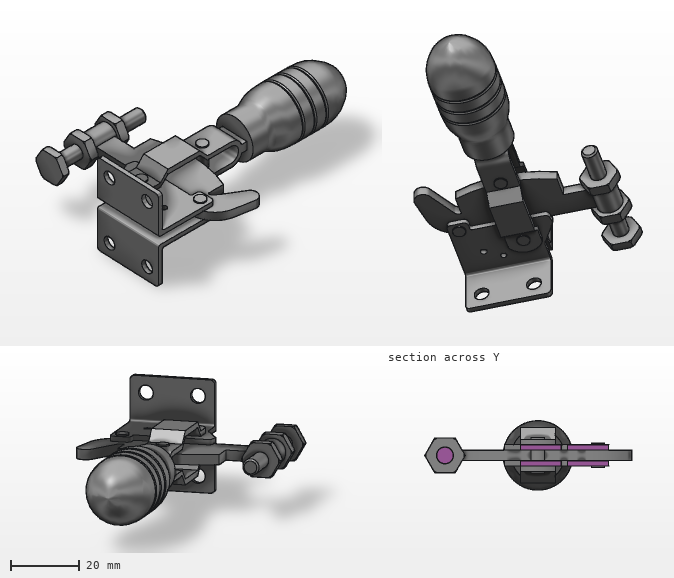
import cadquery as cq
import math


arm_thickness = 3.1
sheet = 1.6
plate_inner_z = arm_thickness / 2
strap_inner_z = plate_inner_z + sheet
strap_outer_z = strap_inner_z + sheet
rivet_head = 0.5

flange_left, flange_right = -5.2, 20.8
base_height = 34.0
flange_corner = 1.3
bend_radius = 0.8
mount_hole_dia = 4.5
mount_hole_x = (0, 15.9)
mount_hole_z = 12.0
cheek_corner_y = 8.2
ear_tip_x, ear_tip_y = -9.8, 16.2
ear_corner_x = -9.3
cheek_top_y = 19.5
ear_corner_radius = 1.3
lug_left_x, lug_top_y = 14.3, 22.9
lug_corner_radius = 1.4
lug_root_radius = 0.6
small_holes = [(13.0, 9.75, 2.0), (7.8, 6.7, 1.8)]

rivet_dia = 3.9
handle_rivet_x = 0
lower_rivet_y = 13.0
upper_rivet_y = 37.8
arm_rivet_x, arm_rivet_y = 17.6, 20.1

strap_width = 10.3
strap_end_y = 7.8
strap_end_straight_y = 10.8
bulge_outer_z = 8.2
bulge_thickness = 1.8
bulge_start_y, bulge_low_y, bulge_high_y, bulge_end_y = 15.8, 18.9, 31.8, 35.0
loop_center_y = 44.4
tang_thickness = 3.2

grip_bottom_y, grip_tip_y = 51.0, 93.7
grip_radius, neck_radius = 10.2, 7.8
grip_middle_y = 74.1
neck_top_y = 57.6
neck_blend_middle = (8.0, 58.8)
shoulder_foot = (8.4, 59.9)
shoulder_middle = (9.75, 63.3)
shoulder_foot_direction = (0.5, 0.9)
along_axis = (0, 1)
nose_points = [(9.75, 84.2), (7.1, 89.4)]
tip_direction = (-0.9, 0.3)
groove_pitch, groove_width, groove_depth = 4.8, 1.1, 0.3

arm_bottom_y, arm_neck_top_y = 17.25, 24.8
body_half_width, body_corner_y, body_crown_y = 15.5, 31.6, 34.5
heel_x, heel_radius = 16.2, 10.1
hook_back_x, hook_back_y = 26.2, 25.5
hook_tip_x, hook_tip_y, hook_tip_radius = 24.8, 33.4, 2.7
hook_angle = 59.5
notch_y, notch_radius = 25.3, 1.6

spindle_x = -27.3
spindle_dia, spindle_top_y, spindle_chamfer = 5.0, 39.2, 0.6
sleeve_dia = 8.0
sleeve_bottom_y, sleeve_top_y = 16.2, 25.6
hex_flats = 10.3
hex_corner_trim = 0.4
nut_height = 3.2
head_bottom_y, head_height = 1.7, 2.6


def cylinder_y(x, diameter, bottom, top):
    """Cylinder standing along Y on the mid plane."""
    disc = cq.Workplane("XZ", origin=(x, bottom, 0)).circle(diameter / 2)
    return disc.extrude(-(top - bottom))


def rivet(x, y, half_length):
    """Round pin across the mid plane."""
    return cq.Workplane("XY").center(x, y).circle(rivet_dia / 2).extrude(half_length, both=True)


def mirror_z(half):
    """A +Z half together with its mirror image."""
    return half.union(half.mirror("XY"))


def make_base():
    """Pair of angle brackets, each a pierced cheek plate with an outward flange."""
    cheek = (
        cq.Workplane("XY", origin=(0, 0, plate_inner_z))
        .moveTo(flange_left, 0)
        .lineTo(flange_left, cheek_corner_y)
        .lineTo(ear_tip_x, ear_tip_y)
        .lineTo(ear_corner_x, cheek_top_y)
        .lineTo(lug_left_x, cheek_top_y)
        .lineTo(lug_left_x, lug_top_y)
        .lineTo(flange_right, lug_top_y)
        .lineTo(flange_right, 0)
        .close()
        .extrude(sheet)
    )
    rounded_corners = [
        (ear_corner_x, cheek_top_y, ear_corner_radius),
        (lug_left_x, cheek_top_y, lug_root_radius),
        (lug_left_x, lug_top_y, lug_corner_radius),
        (flange_right, lug_top_y, lug_corner_radius),
    ]
    for x, y, radius in rounded_corners:
        corner = cq.selectors.NearestToPointSelector((x, y, plate_inner_z + sheet / 2))
        cheek = cheek.edges("|Z").edges(corner).fillet(radius)
    for x, y, diameter in small_holes:
        hole = cq.Workplane("XY").center(x, y).circle(diameter / 2).extrude(strap_inner_z)
        cheek = cheek.cut(hole)

    flange_middle_x = (flange_left + flange_right) / 2
    flange_height = base_height / 2 - plate_inner_z
    flange = cq.Workplane("XY").box(
        flange_right - flange_left, sheet, flange_height, centered=(True, False, False)
    )
    flange = flange.edges("|Y and >Z").fillet(flange_corner)
    flange = flange.translate((flange_middle_x, 0, plate_inner_z))
    for x in mount_hole_x:
        hole = cylinder_y(x, mount_hole_dia, 0, sheet).translate((0, 0, mount_hole_z))
        flange = flange.cut(hole)

    bracket = cheek.union(flange)
    outer_bend = cq.selectors.NearestToPointSelector((flange_middle_x, 0, plate_inner_z))
    inner_bend = cq.selectors.NearestToPointSelector((flange_middle_x, sheet, strap_inner_z))
    bracket = bracket.edges("|X").edges(outer_bend).fillet(bend_radius)
    bracket = bracket.edges("|X").edges(inner_bend).fillet(bend_radius)
    return mirror_z(bracket)


def make_arm():
    """Flat arm with a crowned body and a hooked tail."""
    heel_center_y = arm_bottom_y + heel_radius
    heel_middle_angle = math.atan2(hook_back_x - heel_x, heel_center_y - hook_back_y) / 2
    heel_middle = (
        heel_x + heel_radius * math.sin(heel_middle_angle),
        heel_center_y - heel_radius * math.cos(heel_middle_angle),
    )

    slope = math.radians(hook_angle)
    normal_x, normal_y = -math.sin(slope), math.cos(slope)
    tip_flank = (hook_tip_x + hook_tip_radius * normal_x, hook_tip_y + hook_tip_radius * normal_y)

    offset = hook_tip_radius + notch_radius
    notch_center_y = notch_y + notch_radius
    run = (notch_center_y - (hook_tip_y + offset * normal_y)) / math.tan(slope)
    notch_center_x = hook_tip_x + offset * normal_x + run
    notch_flank = (notch_center_x - notch_radius * normal_x, notch_center_y - notch_radius * normal_y)
    drop = math.sqrt(notch_radius**2 - (body_half_width - notch_center_x) ** 2)

    outline = (
        cq.Workplane("XY", origin=(0, 0, -arm_thickness / 2))
        .moveTo(spindle_x, arm_bottom_y)
        .lineTo(heel_x, arm_bottom_y)
        .threePointArc(heel_middle, (hook_back_x, hook_back_y))
        .lineTo(hook_tip_x + hook_tip_radius, hook_tip_y)
        .threePointArc((hook_tip_x, hook_tip_y + hook_tip_radius), tip_flank)
        .lineTo(*notch_flank)
        .threePointArc((notch_center_x, notch_y), (body_half_width, notch_center_y - drop))
        .lineTo(body_half_width, body_corner_y)
        .threePointArc((0, body_crown_y), (-body_half_width, body_corner_y))
        .lineTo(-body_half_width, arm_neck_top_y)
        .lineTo(spindle_x, arm_neck_top_y)
        .close()
    )
    return outline.extrude(arm_thickness)


def make_strap():
    """Handle strap: a looped fork whose legs bulge outward around the arm."""
    outer_radius = strap_outer_z
    inner_radius = strap_inner_z
    bulge_inner_z = bulge_outer_z - bulge_thickness
    half_width = strap_width / 2

    leg = (
        cq.Workplane("YZ", origin=(-half_width, 0, 0))
        .moveTo(strap_end_y, strap_inner_z)
        .lineTo(bulge_start_y, strap_inner_z)
        .lineTo(bulge_low_y, bulge_inner_z)
        .lineTo(bulge_high_y, bulge_inner_z)
        .lineTo(bulge_end_y, strap_inner_z)
        .lineTo(loop_center_y, strap_inner_z)
        .lineTo(loop_center_y, strap_outer_z)
        .lineTo(bulge_end_y, strap_outer_z)
        .lineTo(bulge_high_y, bulge_outer_z)
        .lineTo(bulge_low_y, bulge_outer_z)
        .lineTo(bulge_start_y, strap_outer_z)
        .lineTo(strap_end_y, strap_outer_z)
        .close()
        .extrude(strap_width)
    )
    loop = (
        cq.Workplane("YZ", origin=(-half_width, 0, 0))
        .moveTo(loop_center_y, -outer_radius)
        .threePointArc((loop_center_y + outer_radius, 0), (loop_center_y, outer_radius))
        .lineTo(loop_center_y, inner_radius)
        .threePointArc((loop_center_y + inner_radius, 0), (loop_center_y, -inner_radius))
        .close()
        .extrude(strap_width)
    )
    tang_start_y = loop_center_y + (inner_radius + outer_radius) / 2
    tang = cq.Workplane("XY").box(
        strap_width, grip_bottom_y - tang_start_y, tang_thickness, centered=(True, False, True)
    )
    tang = tang.translate((0, tang_start_y, 0))

    plan = (
        cq.Workplane("XY")
        .moveTo(-half_width, strap_end_straight_y)
        .threePointArc((0, strap_end_y), (half_width, strap_end_straight_y))
        .lineTo(half_width, grip_bottom_y)
        .lineTo(-half_width, grip_bottom_y)
        .close()
        .extrude(bulge_outer_z, both=True)
    )
    return mirror_z(leg).intersect(plan).union(loop).union(tang)


def make_grip():
    """Turned grip: neck, concave blend, bulged body with three V grooves, and a domed nose."""
    profile = (
        cq.Workplane("XY")
        .moveTo(0, grip_bottom_y)
        .lineTo(neck_radius, grip_bottom_y)
        .lineTo(neck_radius, neck_top_y)
        .threePointArc(neck_blend_middle, shoulder_foot)
    )
    lower_groove_edge = (grip_radius, grip_middle_y - groove_pitch - groove_width / 2)
    profile = profile.spline(
        [shoulder_middle, lower_groove_edge],
        tangents=[shoulder_foot_direction, along_axis],
        includeCurrent=True,
    )
    for step in (-1, 0, 1):
        groove_y = grip_middle_y + step * groove_pitch
        if step > -1:
            profile = profile.lineTo(grip_radius, groove_y - groove_width / 2)
        profile = profile.lineTo(grip_radius - groove_depth, groove_y)
        profile = profile.lineTo(grip_radius, groove_y + groove_width / 2)
    profile = profile.spline(
        [*nose_points, (0, grip_tip_y)],
        tangents=[along_axis, tip_direction],
        includeCurrent=True,
    )
    profile = profile.close()
    return profile.revolve(360, (0, 0, 0), (0, 1, 0))


def hexagon(bottom, height):
    """Hexagonal nut blank on the spindle, flats facing +Z and -Z, corners trimmed at both ends."""
    across_corners = hex_flats / math.cos(math.pi / 6)
    prism = cq.Workplane("XZ", origin=(spindle_x, bottom, 0)).polygon(6, across_corners)
    corner_limit = cylinder_y(spindle_x, across_corners, bottom, bottom + height)
    corner_limit = corner_limit.faces("<Y or >Y").chamfer(hex_corner_trim)
    return prism.extrude(-height).intersect(corner_limit)


def make_spindle():
    """Clamping bolt, its two nuts and the sleeve on the arm."""
    bolt = cylinder_y(spindle_x, spindle_dia, head_bottom_y, spindle_top_y)
    bolt = bolt.faces(">Y").chamfer(spindle_chamfer)
    sleeve = cylinder_y(spindle_x, sleeve_dia, sleeve_bottom_y, sleeve_top_y)
    spindle = bolt.union(sleeve)
    spindle = spindle.union(hexagon(head_bottom_y, head_height))
    spindle = spindle.union(hexagon(sleeve_bottom_y - nut_height, nut_height))
    return spindle.union(hexagon(sleeve_top_y, nut_height))


result = make_base().union(make_arm()).union(make_strap()).union(make_grip()).union(make_spindle())
result = result.union(rivet(handle_rivet_x, lower_rivet_y, strap_outer_z + rivet_head))
result = result.union(rivet(handle_rivet_x, upper_rivet_y, strap_outer_z + rivet_head))
result = result.union(rivet(arm_rivet_x, arm_rivet_y, strap_inner_z + rivet_head))